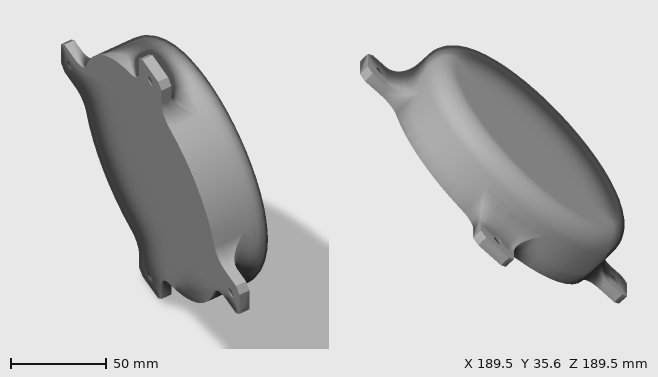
import cadquery as cq
import math

span = 189.5
depth = 35.6
body_radius = 71.0
rim_radius = 11.8

tab_count = 4
tab_width = 23.9
tab_thickness = 6.0
tab_chamfer = 3.6
blend_radius = 12.0
hole_diameter = 5.1
hole_distance = 85.9

half_span = span / 2
half_width = tab_width / 2
blend_height = tab_thickness + blend_radius

arc_z = half_width + blend_radius
arc_distance = body_radius + blend_radius
arc_x = math.sqrt(arc_distance**2 - arc_z**2)
body_tangent_x = arc_x * body_radius / arc_distance
body_tangent_z = arc_z * body_radius / arc_distance
arc_mid_x = arc_x - blend_radius * math.sin((math.asin(arc_x / arc_distance)) / 2)
arc_mid_z = arc_z - blend_radius * math.cos((math.asin(arc_x / arc_distance)) / 2)


def make_body():
    disc = cq.Workplane("XZ").circle(body_radius).extrude(-depth)
    return disc.faces(">Y").edges().fillet(rim_radius)


def make_tab_outline():
    """Tab plan with chamfered corners and flared sides, as tall as the blend."""
    return (
        cq.Workplane("XZ")
        .moveTo(0, -body_tangent_z)
        .lineTo(body_tangent_x, -body_tangent_z)
        .threePointArc((arc_mid_x, -arc_mid_z), (arc_x, -half_width))
        .lineTo(half_span - tab_chamfer, -half_width)
        .lineTo(half_span, -half_width + tab_chamfer)
        .lineTo(half_span, half_width - tab_chamfer)
        .lineTo(half_span - tab_chamfer, half_width)
        .lineTo(arc_x, half_width)
        .threePointArc((arc_mid_x, arc_mid_z), (body_tangent_x, body_tangent_z))
        .lineTo(0, body_tangent_z)
        .close()
        .extrude(-blend_height)
    )


def make_tab_envelope():
    """Flange that sweeps up into the body wall with a concave blend."""
    diagonal = blend_radius * math.sqrt(0.5)
    blend_mid = (arc_distance - diagonal, blend_height - diagonal)
    return (
        cq.Workplane("XY")
        .lineTo(span, 0)
        .lineTo(span, tab_thickness)
        .lineTo(arc_distance, tab_thickness)
        .threePointArc(blend_mid, (body_radius, blend_height))
        .lineTo(0, blend_height)
        .close()
        .revolve(360, (0, 0, 0), (0, 1, 0))
    )


def make_tab():
    hole = (
        cq.Workplane("XZ")
        .center(hole_distance, 0)
        .circle(hole_diameter / 2)
        .extrude(-tab_thickness)
    )
    return make_tab_outline().intersect(make_tab_envelope()).cut(hole)


result = make_body()
tab = make_tab()
for index in range(tab_count):
    result = result.union(tab.rotate((0, 0, 0), (0, 1, 0), index * 360 / tab_count))